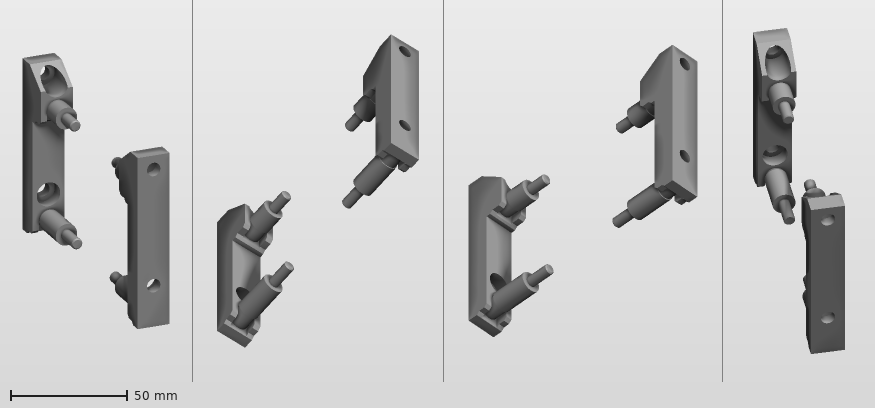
import cadquery as cq

TOTAL_LENGTH = 125.0
BRACKET_DEPTH = 15.0
BRACKET_HEIGHT = 79.5
OUTER_X = -TOTAL_LENGTH / 2

LOWER_POST_Z = 7.5
ROW_SPACING = 54.0
HEAD_BOTTOM = ROW_SPACING
HOLE_ABOVE_POST = 11.5

TOP_WIDTH = 8.0
HEAD_WIDTH = 20.0
ARM_WIDTH = 11.0
SLOPE_DROP = 8.4
STEP_HEIGHT = 1.5
HEAD_STEP_LENGTH = 3.9
FOOT_STEP_LENGTH = 3.0

HOLE_DIAMETER = 6.2
COUNTERBORE_DIAMETER = 11.0
COUNTERBORE_FLOOR = 5.0

PIN_DIAMETER = 5.0
NECK_DIAMETER = 9.0
NECK_DEPTH = 6.0
PIN_CHAMFER = 0.5
SLEEVE_DIAMETER = 10.0
SLEEVE_END = 30.5
UPPER_NECK = 0.5
LOWER_NECK = 1.5
UPPER_PIN_REACH = 40.4
LOWER_PIN_REACH = 42.4

POSTS = [
    (LOWER_POST_Z, ARM_WIDTH, 0, LOWER_NECK, LOWER_PIN_REACH),
    (LOWER_POST_Z + ROW_SPACING, HEAD_WIDTH, HEAD_BOTTOM, UPPER_NECK, UPPER_PIN_REACH),
]


def cylinder(diameter, start, end, z):
    """Cylinder along X, with its ends at the given distances from the outer face."""
    plane = cq.Workplane("YZ", origin=(OUTER_X + start, 0, z))
    return plane.circle(diameter / 2).extrude(end - start)


def stepped_corner(width, bottom, step_length):
    """Points of an underside corner cut back by two 45 degree bevels with a level step between."""
    step_x = width - STEP_HEIGHT - step_length
    return [
        (width, bottom + 2 * STEP_HEIGHT),
        (width - STEP_HEIGHT, bottom + STEP_HEIGHT),
        (step_x, bottom + STEP_HEIGHT),
        (step_x - STEP_HEIGHT, bottom),
    ]


def neck_slot(z, face, underside):
    """Round-topped slot that takes the neck of a pin and is open at the inner face and below."""
    floor = face - NECK_DEPTH
    slot = cq.Workplane("XY").box(NECK_DEPTH, NECK_DIAMETER, z - underside, centered=(False, True, False))
    slot = slot.translate((OUTER_X + floor, 0, underside))
    return slot.union(cylinder(NECK_DIAMETER, floor, face, z))


def make_bracket():
    outline = [
        (0, 0),
        (0, BRACKET_HEIGHT),
        (TOP_WIDTH, BRACKET_HEIGHT),
        (HEAD_WIDTH, BRACKET_HEIGHT - SLOPE_DROP),
        *stepped_corner(HEAD_WIDTH, HEAD_BOTTOM, HEAD_STEP_LENGTH),
        (ARM_WIDTH, HEAD_BOTTOM),
        *stepped_corner(ARM_WIDTH, 0, FOOT_STEP_LENGTH),
    ]
    plane = cq.Workplane("XZ", origin=(OUTER_X, 0, 0))
    bracket = plane.polyline(outline).close().extrude(BRACKET_DEPTH / 2, both=True)
    for post_z, face, underside, _, _ in POSTS:
        hole_z = post_z + HOLE_ABOVE_POST
        bracket = bracket.cut(cylinder(HOLE_DIAMETER, 0, face, hole_z))
        bracket = bracket.cut(cylinder(COUNTERBORE_DIAMETER, COUNTERBORE_FLOOR, face, hole_z))
        bracket = bracket.cut(neck_slot(post_z, face, underside))
    return bracket


def make_pin(z, face, neck, tip):
    """Pin with a thick neck seated in the bracket's slot and a chamfered tip."""
    shoulder = face + neck
    shaft = cylinder(PIN_DIAMETER, shoulder, tip, z).faces(">X").chamfer(PIN_CHAMFER)
    return shaft.union(cylinder(NECK_DIAMETER, face - NECK_DEPTH, shoulder, z))


def make_sleeve(z, start):
    """Sleeve around the pin, resting on the shoulder of the pin's neck."""
    sleeve = cylinder(SLEEVE_DIAMETER, start, SLEEVE_END, z)
    return sleeve.cut(cylinder(PIN_DIAMETER, start, SLEEVE_END, z))


left_side = [make_bracket()]
for post_z, face, _, neck, tip in POSTS:
    left_side.append(make_pin(post_z, face, neck, tip))
    left_side.append(make_sleeve(post_z, face + neck))

right_side = [body.mirror("YZ") for body in left_side]

result = cq.Compound.makeCompound([body.val() for body in left_side + right_side])